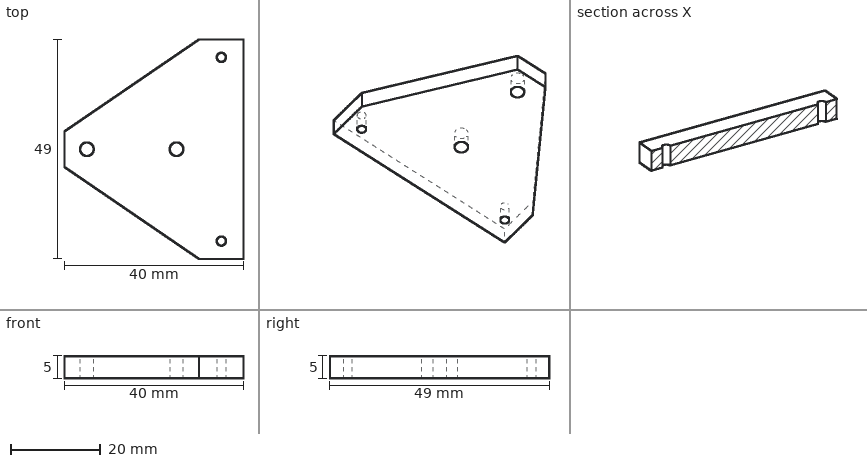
import cadquery as cq

length = 40.0
width = 49.0
thickness = 5.0

nose_width = 8.0
base_depth = 10.0

large_hole_diameter = 3.0
small_hole_diameter = 2.0
nose_hole_inset = 5.0
center_hole_spacing = 20.0
small_hole_inset_x = 5.0
small_hole_inset_y = 4.0

nose_x = -(nose_hole_inset + center_hole_spacing)
base_x = nose_x + length
shoulder_x = base_x - base_depth


def make_plate():
    """Tapered plate, symmetric about the XZ plane."""
    outline = [
        (nose_x, -nose_width / 2),
        (shoulder_x, -width / 2),
        (base_x, -width / 2),
        (base_x, width / 2),
        (shoulder_x, width / 2),
        (nose_x, nose_width / 2),
    ]
    return cq.Workplane("XY").polyline(outline).close().extrude(thickness)


def drill_through(body, centers, diameter):
    """Cut plain vertical holes through the whole plate."""
    drills = cq.Workplane("XY").pushPoints(centers).circle(diameter / 2).extrude(thickness)
    return body.cut(drills)


large_hole_centers = [(0, 0), (-center_hole_spacing, 0)]
small_hole_x = base_x - small_hole_inset_x
small_hole_y = width / 2 - small_hole_inset_y
small_hole_centers = [(small_hole_x, side * small_hole_y) for side in (-1, 1)]

result = make_plate()
result = drill_through(result, large_hole_centers, large_hole_diameter)
result = drill_through(result, small_hole_centers, small_hole_diameter)